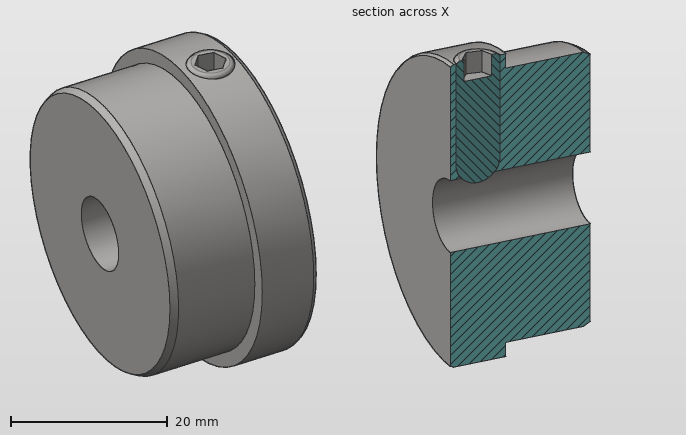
import cadquery as cq
import math

flange_radius = 21.19
flange_length = 8.0
hub_radius = 19.2
total_length = 20.0
bore_radius = 5.0
flange_chamfer_length = 0.5
flange_chamfer_depth = 0.25
hub_chamfer_length = 1.0
hub_chamfer_depth = 0.5

screw_radius = 3.1
screw_head_z = 21.49
screw_tip_z = 3.93
screw_crown_radius = 0.65
socket_corner_radius = 2.1
socket_depth = 3.0
socket_turn = 20.0

back_y = total_length / 2
front_y = -back_y
shoulder_y = back_y - flange_length
screw_y = back_y - flange_length / 2


def make_collar():
    """Stepped, chamfered ring with a bore and a fitted radial hole for the set screw."""
    half_section = [
        (bore_radius, front_y),
        (hub_radius - hub_chamfer_depth, front_y),
        (hub_radius, front_y + hub_chamfer_length),
        (hub_radius, shoulder_y),
        (flange_radius, shoulder_y),
        (flange_radius, back_y - flange_chamfer_length),
        (flange_radius - flange_chamfer_depth, back_y),
        (bore_radius, back_y),
    ]
    ring = cq.Workplane("XY").polyline(half_section).close().revolve(360, (0, 0), (0, 1))
    return ring.cut(make_screw_hole())


def make_screw_hole():
    """Radial hole that fits the screw's rounded tip and runs straight out past its crown."""
    start_z = screw_tip_z + screw_radius
    straight_hole = (
        cq.Workplane("XY", origin=(0, screw_y, start_z))
        .circle(screw_radius)
        .extrude(screw_head_z - start_z)
    )
    return straight_hole.union(make_screw_blank())


def make_screw_blank():
    """Screw without its socket: hemispherical tip, straight shank and rounded crown."""
    tip_center_z = screw_tip_z + screw_radius
    crown_start_z = screw_head_z - screw_crown_radius
    crown_inner_radius = screw_radius - screw_crown_radius
    diagonal = math.sqrt(0.5)
    tip_offset = screw_radius * diagonal
    crown_offset = screw_crown_radius * diagonal
    return (
        cq.Workplane("XZ", origin=(0, screw_y, 0))
        .moveTo(0, screw_tip_z)
        .threePointArc((tip_offset, tip_center_z - tip_offset), (screw_radius, tip_center_z))
        .lineTo(screw_radius, crown_start_z)
        .threePointArc(
            (crown_inner_radius + crown_offset, crown_start_z + crown_offset),
            (crown_inner_radius, screw_head_z),
        )
        .lineTo(0, screw_head_z)
        .close()
        .revolve(360, (0, 0), (0, 1))
    )


def make_set_screw():
    """Screw blank with a hexagon socket in its outer end."""
    socket = (
        cq.Workplane("XY", origin=(0, screw_y, screw_head_z))
        .transformed(rotate=(0, 0, socket_turn))
        .polygon(6, 2 * socket_corner_radius)
        .extrude(-socket_depth)
    )
    return make_screw_blank().cut(socket)


collar = make_collar()
set_screw = make_set_screw()

result = cq.Compound.makeCompound([collar.val(), set_screw.val()])